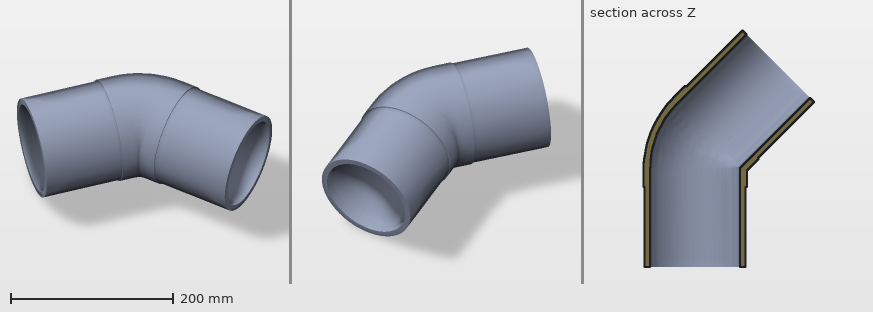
import cadquery as cq
import math

bend_angle = 45.0
pipe_diameter = 125.0
pipe_bore = 110.2
body_diameter = 128.0
bend_bore = 110.0
leg_length = 145.0
collar_length = 20.5



def tangent_length(bend_diameter):
    """Distance from the origin to each end of a bend.

    The bend radius equals the section radius, so its inner side closes to a point.
    """
    return bend_diameter / 2 * math.tan(math.radians(bend_angle / 2))


def make_bend(diameter):
    """Circular section revolved about an axis that touches its inner side."""
    radius = diameter / 2
    return (
        cq.Workplane("XZ", origin=(0, -tangent_length(diameter), 0))
        .circle(radius)
        .revolve(bend_angle, (radius, 0, 0), (radius, -1, 0))
    )


def make_near_cylinder(diameter, start, end):
    """Cylinder on the near leg axis between two distances from the origin."""
    return cq.Workplane("XZ", origin=(0, -start, 0)).circle(diameter / 2).extrude(end - start)


def make_far_copy(near_part):
    """Copy of a near leg part placed on the far leg."""
    return near_part.mirror("XZ").rotate((0, 0, 0), (0, 0, 1), -bend_angle)


def make_outside():
    """Bend with a collar and a thinner spigot at each end."""
    bend_end = tangent_length(body_diameter)
    collar_end = bend_end + collar_length
    collar = make_near_cylinder(body_diameter, bend_end, collar_end)
    spigot = make_near_cylinder(pipe_diameter, collar_end, leg_length)
    leg = collar.union(spigot)
    return make_bend(body_diameter).union(leg).union(make_far_copy(leg))


def make_passage():
    """Inner bend with a straight bore running out to each open end."""
    leg = make_near_cylinder(pipe_bore, tangent_length(bend_bore), leg_length)
    return make_bend(bend_bore).union(leg).union(make_far_copy(leg))


result = make_outside().cut(make_passage())